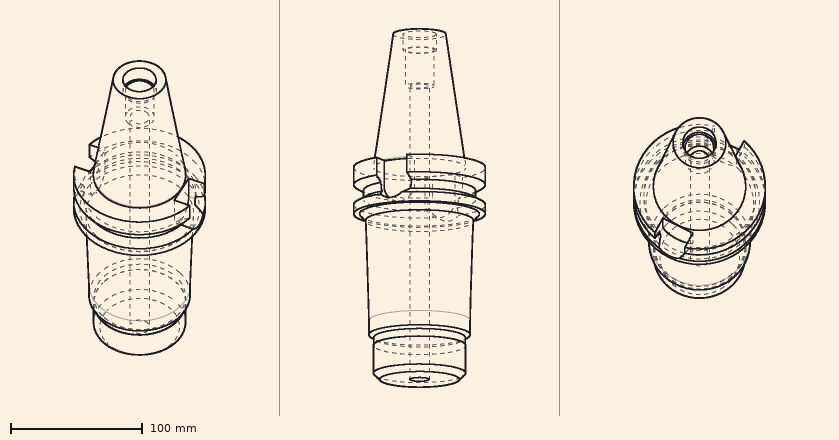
import cadquery as cq

total_height = 267.5
gauge_z = 165.8
flange_top_z = 164.2
body_top_z = 123.0
body_cone_end_z = 45.7
body_bottom_z = 34.5
nose_top_z = 26.5

taper_top_radius = 20.0
gauge_radius = 35.0
flange_radius = 50.0
groove_radius = 42.5
flange_step_radius = 45.5
body_top_radius = 41.0
body_bottom_radius = 38.5
nose_radius = 35.0
neck_radius = 34.8

upper_rim_depth = 13.6
groove_top_depth = 18.0
groove_bottom_depth = 25.0
lower_rim_depth = 29.0
flange_depth = 36.0

body_chamfer_height = 2.1
nose_chamfer = 4.8

slot_width = 25.7
slot_floor_x = 35.3
slot_depth = 32.4

mouth_radius = 12.5
mouth_depth = 12.3
thread_radius = 11.0
thread_depth = 40.0
through_radius = 7.2


def make_body():
    """Taper, grooved flange, conical body and nose as one revolved profile."""
    profile = [
        (0, 0),
        (nose_radius - nose_chamfer, 0),
        (nose_radius, nose_chamfer),
        (nose_radius, nose_top_z),
        (neck_radius, nose_top_z),
        (neck_radius, body_bottom_z - body_chamfer_height),
        (body_bottom_radius, body_bottom_z),
        (body_bottom_radius, body_cone_end_z),
        (body_top_radius, body_top_z),
        (flange_step_radius, flange_top_z - flange_depth),
        (flange_radius, flange_top_z - flange_depth),
        (flange_radius, flange_top_z - lower_rim_depth),
        (groove_radius, flange_top_z - groove_bottom_depth),
        (groove_radius, flange_top_z - groove_top_depth),
        (flange_radius, flange_top_z - upper_rim_depth),
        (flange_radius, flange_top_z),
        (gauge_radius, flange_top_z),
        (gauge_radius, gauge_z),
        (taper_top_radius, total_height),
        (0, total_height),
    ]
    return cq.Workplane("XZ").polyline(profile).close().revolve(360, (0, 0, 0), (0, 1, 0))


def make_drive_slot(side):
    """Round-ended slot cutter; side is +1 or -1 along X."""
    half_width = slot_width / 2
    slot_bottom_z = flange_top_z - slot_depth
    straight_end_z = slot_bottom_z + half_width
    cutter_length = flange_radius - slot_floor_x + 2.7
    return (
        cq.Workplane("YZ", origin=(side * slot_floor_x, 0, 0))
        .moveTo(-half_width, flange_top_z)
        .lineTo(-half_width, straight_end_z)
        .threePointArc((0, slot_bottom_z), (half_width, straight_end_z))
        .lineTo(half_width, flange_top_z)
        .close()
        .extrude(side * cutter_length)
    )


def make_bore(radius, depth):
    """Cylinder cutter reaching down from the small end of the taper."""
    return cq.Workplane("XY", origin=(0, 0, total_height - depth)).circle(radius).extrude(depth)


result = make_body()
for slot_side in (-1, 1):
    result = result.cut(make_drive_slot(slot_side))
bore_steps = (
    (mouth_radius, mouth_depth),
    (thread_radius, thread_depth),
    (through_radius, total_height),
)
for bore_radius, bore_depth in bore_steps:
    result = result.cut(make_bore(bore_radius, bore_depth))